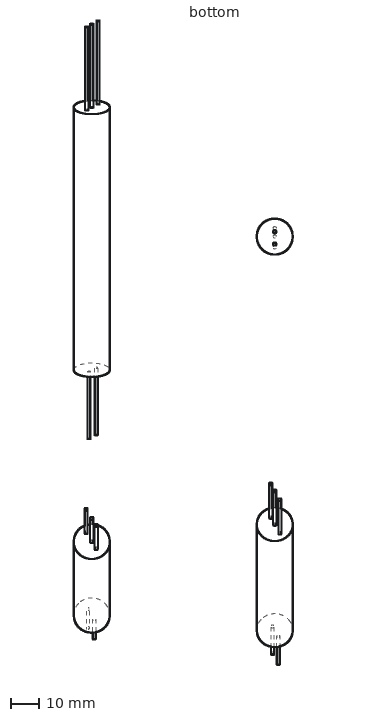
import cadquery as cq

body_diameter = 12.7
body_length = 100.0
overall_length = 157.07

lead_diameter = 1.1
bottom_lead_length = 25.5
top_lead_length = overall_length - body_length - bottom_lead_length

top_lead_y_positions = (3.8, 0.0, -3.0)
bottom_lead_y_positions = (2.65, -1.7)


def make_body():
    """Plain cylinder with its base on the XY plane."""
    return cq.Workplane("XY").circle(body_diameter / 2).extrude(body_length)


def make_leads(y_positions, start_z, length):
    """Straight round leads; a negative length runs downward."""
    centers = [(0, y) for y in y_positions]
    return (
        cq.Workplane("XY")
        .workplane(offset=start_z)
        .pushPoints(centers)
        .circle(lead_diameter / 2)
        .extrude(length)
    )


top_leads = make_leads(top_lead_y_positions, body_length, top_lead_length)
bottom_leads = make_leads(bottom_lead_y_positions, 0, -bottom_lead_length)

result = make_body().union(top_leads).union(bottom_leads)